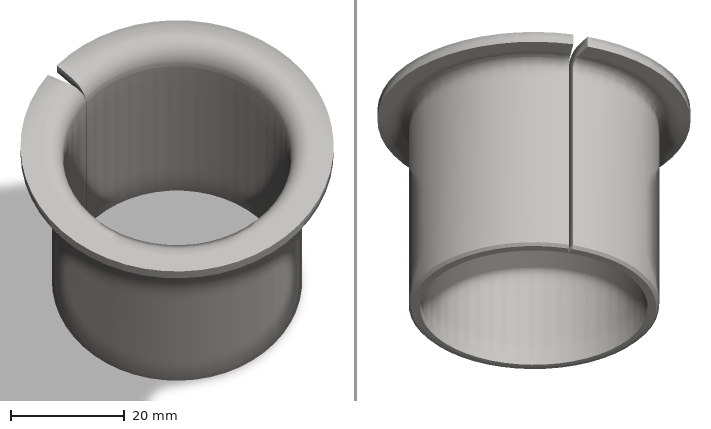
import cadquery as cq
import math

bore_radius = 20.0
wall = 2.0
sleeve_radius = bore_radius + wall
flange_radius = 27.5
height = 40.0
flange_underside = height - wall

outer_bend_radius = 1.5
inner_bend_radius = outer_bend_radius + wall
bend_center_r = sleeve_radius + outer_bend_radius
bend_center_z = flange_underside - outer_bend_radius

chamfer = 0.5

split_direction = 182.0
split_apex_radius = 19.9
split_mouth_width = 2.6
split_overshoot = 2.0


def bend_midpoint(radius):
    """Middle of the quarter-circle bend that faces the axis and the top."""
    offset = radius * math.sqrt(0.5)
    return (bend_center_r - offset, bend_center_z + offset)


def make_flanged_sleeve():
    """Revolve the wall section, drawn as (radius, height), about the Z axis."""
    section = (
        cq.Workplane("XZ")
        .moveTo(bore_radius, 0)
        .lineTo(sleeve_radius - chamfer, 0)
        .lineTo(sleeve_radius, chamfer)
        .lineTo(sleeve_radius, bend_center_z)
        .threePointArc(bend_midpoint(outer_bend_radius), (bend_center_r, flange_underside))
        .lineTo(flange_radius, flange_underside)
        .lineTo(flange_radius, height)
        .lineTo(bend_center_r, height)
        .threePointArc(bend_midpoint(inner_bend_radius), (bore_radius, bend_center_z))
        .close()
    )
    return section.revolve(360, (0, 0, 0), (0, 1, 0))


def make_split_wedge():
    """Full-height wedge whose apex points at the axis and whose mouth opens past the rim."""
    rim_depth = flange_radius - split_apex_radius
    outer_radius = flange_radius + split_overshoot
    half_width = split_mouth_width / 2 * (rim_depth + split_overshoot) / rim_depth
    wedge = (
        cq.Workplane("XY")
        .polyline([(split_apex_radius, 0), (outer_radius, -half_width), (outer_radius, half_width)])
        .close()
        .extrude(height)
    )
    return wedge.rotate((0, 0, 0), (0, 0, 1), split_direction)


result = make_flanged_sleeve().cut(make_split_wedge())